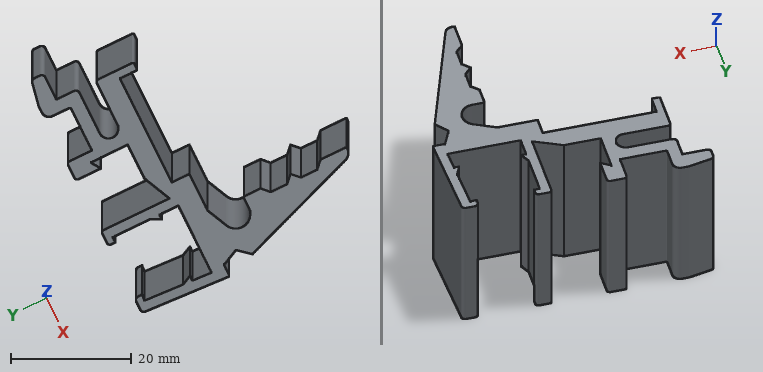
import cadquery as cq
import math

width = 44.35
depth = 42.85
length = 25.4

web_left = 4.85
web_top = -10.4
web_bottom = -14.2
flange_thickness = 1.45
block_left = 25.85
block_bottom = -17.45
ramp_angle = math.radians(25)

hook_right = 7.1
hook_underside = -3.15
hook_slope_end = 4.52
hook_slope_drop = 0.9
shelf_top = -4.65
slot_top = -7.1
slot_end = 14.72
slot_radius = (slot_top - web_top) / 2
slot_center_y = (slot_top + web_top) / 2

post_left = 15.15
post_right = 16.95
barb_right = 18.6
barb_root = -3.6

wall_thickness = 1.77
channel_left = 28.1
channel_inner_left = channel_left + wall_thickness
channel_floor = -13.4
lip_reach = 0.98
lip_thickness = 1.3
right_lip_thickness = 1.4
right_lip_reach = 1.1
tooth_top = -8.25
tooth_bottom = -9.95
tooth_reach = 0.9
foot_bottom = -15.85
foot_left = 42.2
lean_angle = math.radians(3)
foot_radius = 0.25
half_corner_angle = (math.pi / 2 - lean_angle) / 2
foot_corner_x = width + foot_radius * (1 / math.tan(half_corner_angle) - 1)

leg_left = 33.25
leg_top = -23.75
notch = (40.85, -18.7)
leg_shoulder = (42.65, -20.85)
leg_tip_right = 34.75
bore_center = (35.35, -21.35)
bore_radius = bore_center[1] - leg_top
groove_depth = 1.3
ridge_y = -32.5
groove_outer_offset = 5.55
groove_inner_far_offset = 4.3
groove_inner_near_offset = 1.3


def right_wall_outer(y):
    """X of the leaning wall's outer face at height y."""
    return foot_corner_x - math.tan(lean_angle) * (y - foot_bottom)


def right_wall_inner(y):
    """X of the leaning wall's inner face at height y."""
    return right_wall_outer(y) - wall_thickness


def bore_point(angle):
    """Point on the round relief, angle measured from +X."""
    return (
        bore_center[0] + bore_radius * math.cos(angle),
        bore_center[1] + bore_radius * math.sin(angle),
    )


hook_tip_top = (0, -hook_slope_drop)
hook_tip_bottom = (0, hook_underside)
hook_crown = (hook_right, 0)
shelf_corner = (hook_right, shelf_top)
slot_mouth_top = (web_left, slot_top)
slot_mouth_bottom = (web_left, web_top)
flange_tip_left = (web_left, block_bottom)
flange_tip_right = (web_left + flange_thickness, block_bottom)
post_top_left = (post_left, 0)
post_top_right = (barb_right, 0)
wall_top_left = (channel_left, 0)
lip_tip = (channel_inner_left + lip_reach, 0)
right_lip_x = right_wall_inner(-right_lip_thickness) - right_lip_reach
right_lip_tip = (right_lip_x, 0)
right_wall_top = (right_wall_outer(0), 0)
foot_corner = (foot_corner_x, foot_bottom)
leg_top_corner = (leg_left, leg_top)
leg_tip = (leg_tip_right, -depth)

hook_and_post = [
    (hook_slope_end, 0),
    hook_crown,
    shelf_corner,
    (post_left, shelf_top),
    post_top_left,
    post_top_right,
    (barb_right, shelf_top),
    (post_right, barb_root),
    (post_right, web_top),
]
ramp_bottom = -12.65
ramp_start = channel_left - (web_top - ramp_bottom) / math.tan(ramp_angle)
left_wall = [
    (ramp_start, web_top),
    (channel_left, ramp_bottom),
    wall_top_left,
    lip_tip,
    (lip_tip[0], -lip_thickness),
    (channel_inner_left, -lip_thickness),
    (channel_inner_left, tooth_top),
    (channel_inner_left + tooth_reach, tooth_bottom),
    (channel_inner_left, tooth_bottom),
    (channel_inner_left, channel_floor),
]
right_wall = [
    (right_wall_inner(channel_floor), channel_floor),
    (right_wall_inner(tooth_bottom), tooth_bottom),
    (right_wall_inner(tooth_bottom) - tooth_reach, tooth_bottom),
    (right_wall_inner(tooth_top), tooth_top),
    (right_wall_inner(-lip_thickness), -lip_thickness),
    (right_lip_x, -right_lip_thickness),
    right_lip_tip,
    right_wall_top,
    foot_corner,
    (foot_left, foot_bottom),
]

groove_floor = leg_left + groove_depth
leg = [
    notch,
    leg_shoulder,
    leg_tip,
    (leg_left, -depth),
    (leg_left, ridge_y - groove_outer_offset),
    (groove_floor, ridge_y - groove_inner_far_offset),
    (groove_floor, ridge_y - groove_inner_near_offset),
    (leg_left, ridge_y),
    (groove_floor, ridge_y + groove_inner_near_offset),
    (groove_floor, ridge_y + groove_inner_far_offset),
    (leg_left, ridge_y + groove_outer_offset),
    leg_top_corner,
    (bore_center[0], leg_top),
]

bore_exit = bore_point(math.pi / 2 - ramp_angle)
relief_start = bore_exit[0] - (block_bottom - bore_exit[1]) / math.tan(ramp_angle)
underside = [
    (relief_start, block_bottom),
    (block_left, block_bottom),
    (block_left, web_bottom),
    (flange_tip_right[0], web_bottom),
    flange_tip_right,
    flange_tip_left,
    slot_mouth_bottom,
    (slot_end - slot_radius, web_top),
]


def add_lines(path, points):
    for x, y in points:
        path = path.lineTo(x, y)
    return path


profile = cq.Workplane("XY").moveTo(*hook_tip_top)
profile = add_lines(profile, hook_and_post + left_wall + right_wall + leg)
profile = profile.threePointArc(bore_point(0), bore_exit)
profile = add_lines(profile, underside)
profile = profile.threePointArc((slot_end, slot_center_y), (slot_end - slot_radius, slot_top))
profile = add_lines(profile, [slot_mouth_top, (web_left, hook_underside), hook_tip_bottom])
result = profile.close().extrude(length)

roundings = [
    (1.55, [leg_tip]),
    (1.35, [hook_crown]),
    (0.65, [hook_tip_top, hook_tip_bottom, slot_mouth_top, right_lip_tip, right_wall_top]),
    (0.55, [post_top_left, post_top_right, slot_mouth_bottom, lip_tip]),
    (0.4, [wall_top_left]),
    (0.25, [shelf_corner, flange_tip_left, flange_tip_right, leg_top_corner]),
    (foot_radius, [foot_corner]),
]
for radius, corners in roundings:
    for x, y in corners:
        edge = cq.selectors.NearestToPointSelector((x, y, length / 2))
        result = result.edges("|Z").edges(edge).fillet(radius)